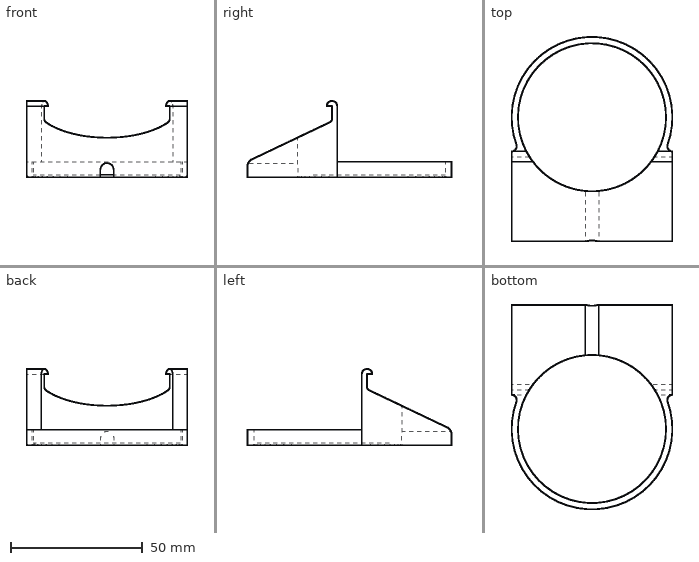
import cadquery as cq
import math

width = 61.0
length = 77.5
height = 29.0

outer_radius = width / 2
bore_radius = 56.0 / 2
ring_height = 6.0
ring_center_y = length - outer_radius

back_y = 34.1
front_height = 6.05
slope_top_z = 21.3
front_round = 3.0
bottom_round = 1.0

arm_thickness = 2.0
hook_radius = 2.0
arm_root_round = 1.5

notch_width = 4.95
notch_arch_z = 2.95


def extrude_across(profile):
    """Extrude a Y-Z outline over the full width, centered on X = 0."""
    return profile.extrude(width / 2, both=True)


def make_base():
    """Wedge with a hooked back wall and rounded lower side edges."""
    arm_y = back_y - arm_thickness
    hook_z = height - hook_radius
    profile = (
        cq.Workplane("YZ")
        .moveTo(0, 0)
        .lineTo(0, front_height)
        .lineTo(arm_y, slope_top_z)
        .lineTo(arm_y, hook_z)
        .lineTo(arm_y - hook_radius, hook_z)
        .threePointArc((arm_y, height), (back_y, hook_z))
        .lineTo(back_y, 0)
        .close()
    )
    base = extrude_across(profile)
    base = base.edges(cq.NearestToPointSelector((0, 0, front_height))).fillet(front_round)
    base = base.edges(cq.NearestToPointSelector((0, arm_y, slope_top_z))).fillet(arm_root_round)
    return base.faces("<Z").edges("|Y").fillet(bottom_round)


def make_ring():
    return cq.Workplane("XY").center(0, ring_center_y).circle(outer_radius).extrude(ring_height)


def make_neck(side):
    """Concave blend from the corner of the back wall to the ring; side is -1 or 1."""
    center_offset = ring_center_y - back_y
    blend_radius = center_offset**2 / (2 * (outer_radius + center_offset))
    blend_x = outer_radius
    blend_y = back_y + blend_radius

    to_ring = math.atan2(ring_center_y - blend_y, -blend_x)
    wall_angle = 1.5 * math.pi
    middle_angle = (to_ring + wall_angle) / 2

    def arc_point(angle):
        return (
            side * (blend_x + blend_radius * math.cos(angle)),
            blend_y + blend_radius * math.sin(angle),
        )

    contact = arc_point(to_ring)
    return (
        cq.Workplane("XY")
        .moveTo(side * blend_x, back_y)
        .threePointArc(arc_point(middle_angle), contact)
        .lineTo(side * bore_radius * math.cos(math.pi / 4), contact[1])
        .lineTo(side * bore_radius * math.cos(math.pi / 4), back_y)
        .close()
        .extrude(ring_height)
    )


def make_bore():
    """Through bore, flared at the bottom to round the lower inner edge."""
    flare_radius = bore_radius + bottom_round
    middle = bottom_round * math.sqrt(0.5)
    return (
        cq.Workplane("XZ")
        .moveTo(0, 0)
        .lineTo(flare_radius, 0)
        .threePointArc((flare_radius - middle, bottom_round - middle), (bore_radius, bottom_round))
        .lineTo(bore_radius, height)
        .lineTo(0, height)
        .close()
        .revolve(360, (0, 0, 0), (0, 1, 0))
        .translate((0, ring_center_y, 0))
    )


def make_notch():
    """Round-topped passage from the front face into the bore."""
    half = notch_width / 2
    return (
        cq.Workplane("XZ")
        .moveTo(-half, 0)
        .lineTo(-half, notch_arch_z)
        .threePointArc((0, notch_arch_z + half), (half, notch_arch_z))
        .lineTo(half, 0)
        .close()
        .extrude(-ring_center_y)
    )


body = make_base().union(make_ring())
for side in (-1, 1):
    body = body.union(make_neck(side))

result = body.cut(make_bore()).cut(make_notch())